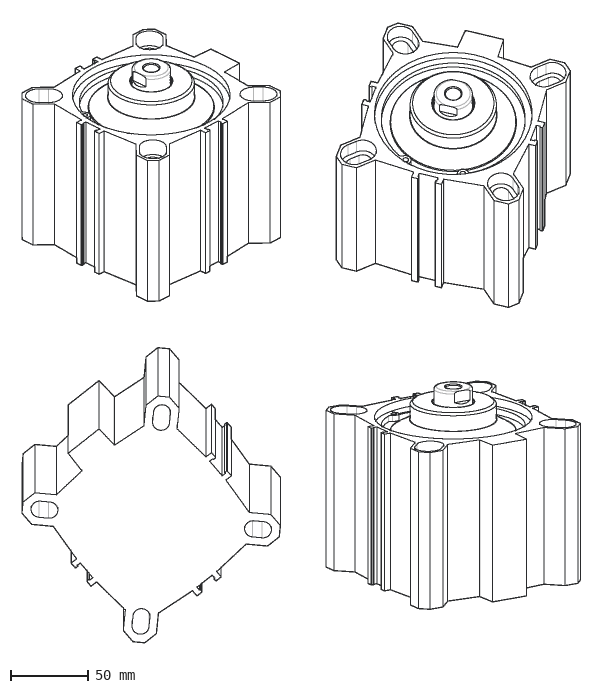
import cadquery as cq
import math

body_height = 106.0
lug_half = 62.0
lug_chamfer = 5.4
lug_outer_end = 46.7
lug_root = 36.8
side_half = 54.4
side_flat_half = 10.3
wall_overlap = 1.0

port_face = 69.0
port_tip_half = 13.0
port_root_half = 13.7

rail_tip = 59.0
rail_outer = 10.2
rail_neck = 6.4
rail_hook = 5.7
rail_hook_depth = 2.0
rail_hook_chamfer = 0.4

slot_center = 49.2
slot_travel = 6.4
slot_width = 11.0
counterbore_width = 17.5
counterbore_depth = 11.0

bore_diameter = 102.2
groove_diameter = 106.2
ring_top = 100.6
ring_thickness = 4.0
ring_bottom = ring_top - ring_thickness
cover_plate_thickness = 20.0
cover_bottom = ring_bottom - cover_plate_thickness

ring_inner_diameter = 93.4
ear_center_radius = 46.2
ear_angle = 24.8
ear_radius = 3.6
ear_hole_diameter = 3.5
ear_blend = 2.6

cone_foot_diameter = 82.0
cone_base_diameter = 81.2
cone_lip_height = 0.8
cone_top = 104.4
nose_diameter = 56.0
nose_ledge = 0.4
nose_top = 116.5
nose_chamfer = 1.6
wiper_mouth_diameter = 28.0
wiper_diameter = 26.9
wiper_depth = 2.0
clearance_diameter = 25.6
clearance_depth = 1.0

rod_diameter = 25.0
rod_top = 126.5
rod_fillet = 1.5
flat_width = 22.0
flat_bottom = 119.2
flat_runout = 1.2
thread_diameter = 10.11
thread_mouth_diameter = 11.45
thread_depth = 20.0
drill_tip_angle = 118.0


def make_housing():
    flank_root = lug_half - (lug_outer_end - lug_root)
    half_corner = [
        (side_half, side_flat_half),
        (flank_root, lug_root),
        (lug_half, lug_outer_end),
        (lug_half, lug_half - lug_chamfer),
    ]
    corner = half_corner + [(y, x) for x, y in reversed(half_corner)]
    outline = []
    for _ in range(4):
        outline += corner
        corner = [(-y, x) for x, y in corner]
    body = cq.Workplane("XY").polyline(outline).close().extrude(body_height)

    body = body.union(make_port_block())
    for side_angle in (-90, 0, 180):
        for mirrored in (False, True):
            body = body.union(make_rail(side_angle, mirrored))

    for x_sign in (-1, 1):
        for y_sign in (-1, 1):
            body = body.cut(make_slot(x_sign, y_sign, slot_width, body_height))
            body = body.cut(make_slot(x_sign, y_sign, counterbore_width, counterbore_depth))

    bore = disc(bore_diameter, cover_bottom, body_height)
    groove = disc(groove_diameter, ring_bottom, ring_top)
    return body.cut(bore).cut(groove)


def disc(diameter, bottom, top):
    return cq.Workplane("XY").workplane(offset=bottom).circle(diameter / 2).extrude(top - bottom)


def make_port_block():
    root = side_half - wall_overlap
    outline = [
        (-port_root_half, root),
        (port_root_half, root),
        (port_root_half, side_half),
        (port_tip_half, port_face),
        (-port_tip_half, port_face),
        (-port_root_half, side_half),
    ]
    return cq.Workplane("XY").polyline(outline).close().extrude(body_height)


def make_rail(side_angle, mirrored):
    root = side_half - wall_overlap
    hook_start = rail_tip - rail_hook_depth
    outline = [
        (root, rail_outer),
        (rail_tip, rail_outer),
        (rail_tip, rail_hook + rail_hook_chamfer),
        (rail_tip - rail_hook_chamfer, rail_hook),
        (hook_start, rail_hook),
        (hook_start, rail_neck),
        (root, rail_neck),
    ]
    if mirrored:
        outline = [(x, -y) for x, y in outline]
    rail = cq.Workplane("XY").polyline(outline).close().extrude(body_height)
    return rail.rotate((0, 0, 0), (0, 0, 1), side_angle)


def make_slot(x_sign, y_sign, width, depth):
    return (
        cq.Workplane("XY")
        .workplane(offset=body_height - depth)
        .center(x_sign * slot_center, y_sign * slot_center)
        .slot2D(slot_travel + width, width, 45 * x_sign * y_sign)
        .extrude(depth)
    )


def ring_point(radial, offset, side):
    angle = math.radians(ear_angle)
    x = radial * math.sin(angle) - offset * math.cos(angle)
    y = -radial * math.cos(angle) - offset * math.sin(angle)
    return (side * x, y)


def make_retaining_ring():
    plane = cq.Workplane("XY").workplane(offset=ring_bottom)
    ear_centers = [ring_point(ear_center_radius, 0, side) for side in (-1, 1)]
    ring = plane.circle(groove_diameter / 2).circle(ring_inner_diameter / 2).extrude(ring_thickness)
    ring = ring.union(plane.pushPoints(ear_centers).circle(ear_radius).extrude(ring_thickness))

    gap = [
        ring_point(ear_center_radius, ear_radius, -1),
        ring_point(groove_diameter, ear_radius, -1),
        ring_point(groove_diameter, ear_radius, 1),
        ring_point(ear_center_radius, ear_radius, 1),
    ]
    ring = ring.cut(plane.polyline(gap).close().extrude(ring_thickness))

    inner_radius = ring_inner_diameter / 2
    crossing_radial = (
        (inner_radius**2 + ear_center_radius**2 - ear_radius**2) / (2 * ear_center_radius)
    )
    crossing_offset = -math.sqrt(inner_radius**2 - crossing_radial**2)
    for side in (-1, 1):
        x, y = ring_point(crossing_radial, crossing_offset, side)
        corner = cq.NearestToPointSelector((x, y, ring_bottom + ring_thickness / 2))
        ring = ring.edges("|Z").edges(corner).fillet(ear_blend)
    return ring.cut(plane.pushPoints(ear_centers).circle(ear_hole_diameter / 2).extrude(ring_thickness))


def make_head_cover():
    bore_radius = rod_diameter / 2
    nose_radius = nose_diameter / 2
    wiper_radius = wiper_diameter / 2
    mouth_radius = wiper_mouth_diameter / 2
    mouth_bottom = nose_top - (mouth_radius - wiper_radius)
    wiper_floor = nose_top - wiper_depth
    clearance_radius = clearance_diameter / 2
    clearance_floor = wiper_floor - clearance_depth
    half_section = [
        (bore_radius, cover_bottom),
        (bore_diameter / 2, cover_bottom),
        (bore_diameter / 2, ring_bottom),
        (cone_foot_diameter / 2, ring_bottom),
        (cone_base_diameter / 2, ring_bottom + cone_lip_height),
        (nose_radius + nose_ledge, cone_top),
        (nose_radius, cone_top),
        (nose_radius, nose_top - nose_chamfer),
        (nose_radius - nose_chamfer, nose_top),
        (mouth_radius, nose_top),
        (wiper_radius, mouth_bottom),
        (wiper_radius, wiper_floor),
        (clearance_radius, wiper_floor),
        (clearance_radius, clearance_floor),
        (bore_radius, clearance_floor),
    ]
    return cq.Workplane("XZ").polyline(half_section).close().revolve(360, (0, 0, 0), (0, 1, 0))


def make_piston_rod():
    rod_radius = rod_diameter / 2
    rod = disc(rod_diameter, cover_bottom, rod_top).faces(">Z").edges().fillet(rod_fillet)

    flat_half = flat_width / 2
    runout_bottom = flat_bottom - flat_runout
    for side in (-1, 1):
        cutter = [
            (side * flat_half, rod_top),
            (side * flat_half, flat_bottom),
            (side * rod_radius, runout_bottom),
            (side * rod_radius, rod_top),
        ]
        rod = rod.cut(cq.Workplane("YZ").polyline(cutter).close().extrude(rod_radius, both=True))

    thread_radius = thread_diameter / 2
    mouth_radius = thread_mouth_diameter / 2
    hole_bottom = rod_top - thread_depth
    tip_height = thread_radius / math.tan(math.radians(drill_tip_angle / 2))
    half_section = [
        (0, rod_top),
        (mouth_radius, rod_top),
        (thread_radius, rod_top - (mouth_radius - thread_radius)),
        (thread_radius, hole_bottom),
        (0, hole_bottom - tip_height),
    ]
    hole = cq.Workplane("XZ").polyline(half_section).close().revolve(360, (0, 0, 0), (0, 1, 0))
    return rod.cut(hole)


housing = make_housing()
retaining_ring = make_retaining_ring()
head_cover = make_head_cover()
piston_rod = make_piston_rod()

result = cq.Compound.makeCompound(
    [housing.val(), retaining_ring.val(), head_cover.val(), piston_rod.val()]
)